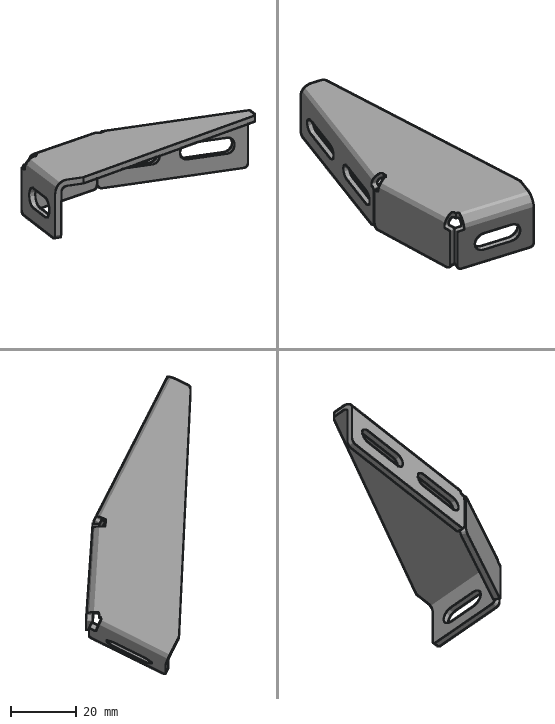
import cadquery as cq
import math

WIDTH = 40.0
LENGTH = 81.0
HEIGHT = 19.0

THICKNESS = 2.0
LEFT_BEND_RADIUS = 3.7
BEND_RADIUS = 4.0

LEFT_ANGLE = 0.0
SLANT_ANGLE = 22.8
FRONT_ANGLE = 90.0

LEFT_END_Y = 30.5
SLANT_START_Y = 29.7
SLANT_LENGTH = 30.8
FRONT_START_X = 13.7

REAR_RELIEF = 1.45
FRONT_RELIEF = 2.4

CORNER_RADIUS = 1.5
RELIEF_CORNER_RADIUS = 0.5

REAR_EDGE_END_X = 8.1
RIGHT_EDGE_END_Y = 9.4

SLOT_Z = 8.0
LEFT_SLOT_LENGTH = 18.2
LEFT_SLOT_WIDTH = 5.2
LEFT_SLOT_PITCH = 25.0
LEFT_SLOT_FIRST = 13.7
FRONT_SLOT_LENGTH = 15.55
FRONT_SLOT_WIDTH = 6.4
FRONT_SLOT_X = 27.5


def round_edge(body, midpoint, radius):
    """Round the straight edge whose middle lies at the given point."""
    return body.edges(cq.NearestToPointSelector(midpoint)).fillet(radius)


def bend_piece(length, bend_radius):
    """Quarter-round bend running along -Y from the origin, its outer face tangent to X = 0."""
    bottom_z = HEIGHT - bend_radius
    inner_radius = bend_radius - THICKNESS
    diagonal = math.sqrt(0.5)
    return (
        cq.Workplane("XZ")
        .moveTo(0, bottom_z)
        .threePointArc(
            (bend_radius * (1 - diagonal), bottom_z + bend_radius * diagonal),
            (bend_radius, HEIGHT),
        )
        .lineTo(bend_radius, HEIGHT - THICKNESS)
        .threePointArc(
            (bend_radius - inner_radius * diagonal, bottom_z + inner_radius * diagonal),
            (THICKNESS, bottom_z),
        )
        .close()
        .extrude(length)
    )


def flange(start, angle, length, bend_radius, start_relief=0, end_relief=0):
    """Wall and bend, modelled along -Y with the outer face on X = 0, then turned and placed."""
    wall_height = HEIGHT - bend_radius
    mid_x = THICKNESS / 2
    body = cq.Workplane("XZ").rect(THICKNESS, wall_height, centered=False).extrude(length)
    for along in (0, length):
        body = round_edge(body, (mid_x, -along, 0), CORNER_RADIUS)
    bend = bend_piece(length, bend_radius)
    for end, relief, inward in ((0, start_relief, 1), (length, end_relief, -1)):
        if relief:
            body = round_edge(body, (mid_x, -end, wall_height), RELIEF_CORNER_RADIUS)
            bend_end = end + inward * relief
            gap = cq.Workplane("XY").box(bend_radius, relief, bend_radius, centered=False)
            gap = gap.translate((0, -max(end, bend_end), wall_height))
            gap_edges = [
                (bend_radius / 2, -bend_end, wall_height),
                (bend_radius, -bend_end, wall_height + bend_radius / 2),
            ]
            for midpoint in gap_edges:
                gap = round_edge(gap, midpoint, RELIEF_CORNER_RADIUS)
            bend = bend.cut(gap)
    body = body.union(bend)
    return body.rotate((0, 0, 0), (0, 0, 1), angle).translate((start[0], start[1], 0))


def top_plate():
    """Flat plate bounded by the three bend lines, the rear and right edges and the long slope."""
    inward_x = math.cos(math.radians(SLANT_ANGLE))
    inward_y = math.sin(math.radians(SLANT_ANGLE))
    offset = inward_y * SLANT_START_Y + BEND_RADIUS
    rear_corner_y = (offset - inward_x * LEFT_BEND_RADIUS) / inward_y
    front_corner_x = (offset - inward_y * BEND_RADIUS) / inward_x
    plate = (
        cq.Workplane("XY", origin=(0, 0, HEIGHT - THICKNESS))
        .polyline([
            (LEFT_BEND_RADIUS, LENGTH),
            (LEFT_BEND_RADIUS, rear_corner_y),
            (front_corner_x, BEND_RADIUS),
            (WIDTH, BEND_RADIUS),
            (WIDTH, RIGHT_EDGE_END_Y),
            (REAR_EDGE_END_X, LENGTH),
        ])
        .close()
        .extrude(THICKNESS)
    )
    tip = (REAR_EDGE_END_X, LENGTH, HEIGHT - THICKNESS / 2)
    return round_edge(plate, tip, CORNER_RADIUS)


left_start = (0, LENGTH)
slant_start = (0, SLANT_START_Y)
front_start = (FRONT_START_X, 0)

left_flange = flange(
    left_start, LEFT_ANGLE, LENGTH - LEFT_END_Y, LEFT_BEND_RADIUS, end_relief=REAR_RELIEF
)
slant_flange = flange(
    slant_start, SLANT_ANGLE, SLANT_LENGTH, BEND_RADIUS, REAR_RELIEF, FRONT_RELIEF
)
front_flange = flange(
    front_start, FRONT_ANGLE, WIDTH - FRONT_START_X, BEND_RADIUS, start_relief=FRONT_RELIEF
)

left_slots = (
    cq.Workplane("YZ")
    .pushPoints([(LENGTH - LEFT_SLOT_FIRST - i * LEFT_SLOT_PITCH, SLOT_Z) for i in range(2)])
    .slot2D(LEFT_SLOT_LENGTH, LEFT_SLOT_WIDTH)
    .extrude(THICKNESS)
)
front_slot = (
    cq.Workplane("XZ")
    .center(FRONT_SLOT_X, SLOT_Z)
    .slot2D(FRONT_SLOT_LENGTH, FRONT_SLOT_WIDTH)
    .extrude(-THICKNESS)
)

body = top_plate().union(left_flange).union(slant_flange).union(front_flange)
result = body.cut(left_slots).cut(front_slot)